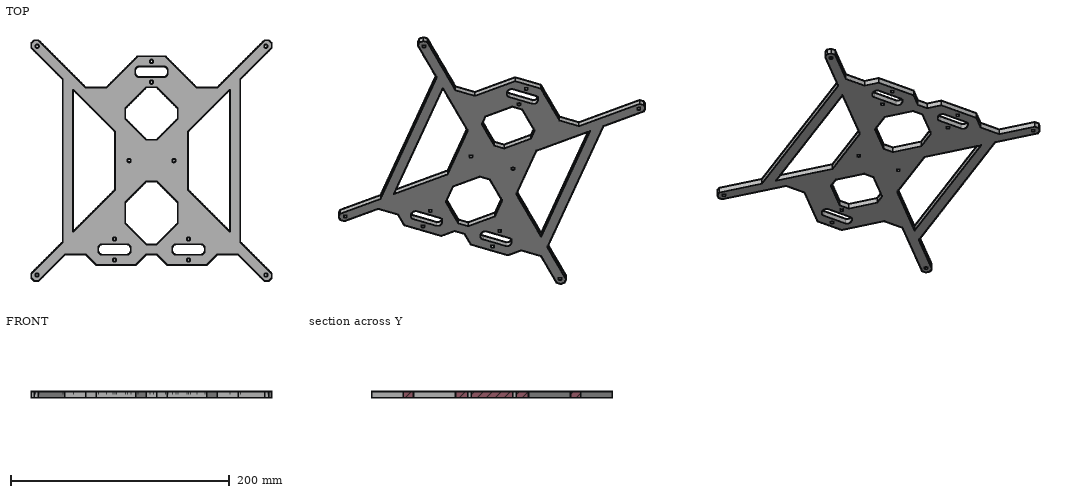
import cadquery as cq
import math

THICKNESS = 6.0
OVERALL = 220.0
PITCH = 9.55

arm_width = PITCH
half_arm = arm_width / 2
arm_end = OVERALL / 2
tip_center = arm_end - half_arm
tip_half_side = half_arm * math.tan(math.pi / 8)
arm_offset = half_arm * math.sqrt(2)

rail_outer_x = 8.5 * PITCH
rail_inner_x = 7.5 * PITCH
web_half_width = 3.5 * PITCH

rear_edge_y = 7 * PITCH
rear_tab_y = 10 * PITCH
REAR_TAB_HALF_WIDTH = 12.5
front_edge_y = -9 * PITCH
front_tab_y = -10 * PITCH
front_tab_inner_x = PITCH / 2
FRONT_TAB_OUTER_X = 60.0

window_width = 5 * PITCH
window_corner = 2 * PITCH
rear_window_y = (2 * PITCH, 7 * PITCH)
front_window_y = (-8 * PITCH, -2 * PITCH)

SLOT_LENGTH = 29.5
slot_width = PITCH
SLOT_RADIUS = 3.75
MOUNT_HOLE_OFFSET = 9.5
FRONT_MOUNT_X = 33.8
mount_y = 8.5 * PITCH

HOLE_DIAMETER = 3.0
CORNER_HOLE = 104.5
CENTER_HOLE_X = 20.5


def prism(points):
    """Full-thickness block with the given outline."""
    return cq.Workplane("XY").polyline(points).close().extrude(THICKNESS)


def block(width, depth):
    """Full-thickness rectangular block centred on the Z axis."""
    return cq.Workplane("XY").rect(width, depth).extrude(THICKNESS)


def plate():
    """Solid plate with arms and tabs, mirror-symmetric about X = 0."""
    front_tab_rise = front_edge_y - front_tab_y
    rear_tab_rise = rear_tab_y - rear_edge_y
    tip_low = tip_center - tip_half_side
    tip_high = tip_center + tip_half_side
    rail_end_y = rail_outer_x - arm_offset
    right_side = [
        (front_tab_inner_x, front_edge_y),
        (front_tab_inner_x + front_tab_rise, front_tab_y),
        (FRONT_TAB_OUTER_X - front_tab_rise, front_tab_y),
        (FRONT_TAB_OUTER_X, front_edge_y),
        (-front_edge_y - arm_offset, front_edge_y),
        (tip_low, -arm_end),
        (tip_high, -arm_end),
        (arm_end, -tip_high),
        (arm_end, -tip_low),
        (rail_outer_x, -rail_end_y),
        (rail_outer_x, rail_end_y),
        (arm_end, tip_low),
        (arm_end, tip_high),
        (tip_high, arm_end),
        (tip_low, arm_end),
        (rear_edge_y - arm_offset, rear_edge_y),
        (REAR_TAB_HALF_WIDTH + rear_tab_rise, rear_edge_y),
        (REAR_TAB_HALF_WIDTH, rear_tab_y),
    ]
    left_side = [(-x, y) for x, y in reversed(right_side)]
    return prism(right_side + left_side)


def side_window(side):
    """Trapezoid between a side rail, the two arms and the web."""
    rail_y = rail_inner_x - arm_offset
    web_y = web_half_width - arm_offset
    return prism([
        (side * rail_inner_x, -rail_y),
        (side * rail_inner_x, rail_y),
        (side * web_half_width, web_y),
        (side * web_half_width, -web_y),
    ])


def octagonal_window(y_min, y_max):
    window = block(window_width, y_max - y_min).edges("|Z").chamfer(window_corner)
    return window.translate((0, (y_min + y_max) / 2, 0))


def holes(centers):
    return cq.Workplane("XY").pushPoints(centers).circle(HOLE_DIAMETER / 2).extrude(THICKNESS)


def bearing_mount(x, y):
    slot = block(SLOT_LENGTH, slot_width).edges("|Z").fillet(SLOT_RADIUS)
    screw_holes = holes([(0, -MOUNT_HOLE_OFFSET), (0, MOUNT_HOLE_OFFSET)])
    return slot.union(screw_holes).translate((x, y, 0))


result = plate()

for side in (-1, 1):
    result = result.cut(side_window(side))

for y_min, y_max in (rear_window_y, front_window_y):
    result = result.cut(octagonal_window(y_min, y_max))

for x, y in ((0, mount_y), (-FRONT_MOUNT_X, -mount_y), (FRONT_MOUNT_X, -mount_y)):
    result = result.cut(bearing_mount(x, y))

corner_holes = [(sx * CORNER_HOLE, sy * CORNER_HOLE) for sx in (-1, 1) for sy in (-1, 1)]
center_holes = [(-CENTER_HOLE_X, 0), (CENTER_HOLE_X, 0)]
result = result.cut(holes(corner_holes + center_holes))